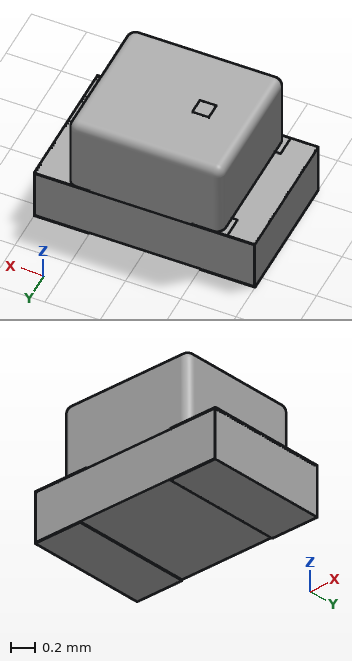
import cadquery as cq

length = 2
width = 1.25
height = 1.2

foil = 0.01
base_top = 0.5
terminal_reach = 0.5

lens_length = 1.4
lens_radius = 0.08

patch_inset = 0.25
patch_length = 0.32
patch_width = 0.2

mark_size = 0.15
mark_inset = 0.67

left_end = -length / 2
substrate_length = length - 2 * foil
substrate_top = base_top - foil
patch_center_x = left_end + patch_inset + patch_length / 2
patch_center_y = (width - patch_width) / 2
mark_center_x = left_end + mark_inset + mark_size / 2


def block(size_x, size_y, bottom, top, x=0, y=0):
    """Block centred on (x, y), from height bottom to height top."""
    return (
        cq.Workplane("XY", origin=(x, y, bottom))
        .box(size_x, size_y, top - bottom, centered=(True, True, False))
    )


def make_substrate():
    return block(substrate_length, width, foil, substrate_top)


def make_patch(side):
    """Thin patch at the front (side -1) or back (side 1) edge of the base."""
    return block(patch_length, patch_width, substrate_top, base_top, patch_center_x, side * patch_center_y)


def make_terminal(side, substrate):
    """Foil channel wrapped around the left (side -1) or right (side 1) end of the substrate."""
    center_x = side * (length - terminal_reach) / 2
    return block(terminal_reach, width, 0, base_top, center_x).cut(substrate)


def make_mark():
    return block(mark_size, mark_size, height - foil, height, mark_center_x)


def make_lens(fitted_bodies):
    """Rounded block down to the substrate, recessed for the foil parts and the mark."""
    lens = (
        block(lens_length, width, substrate_top, height)
        .edges("|Z")
        .fillet(lens_radius)
        .faces(">Z")
        .edges()
        .fillet(lens_radius)
    )
    for body in fitted_bodies:
        lens = lens.cut(body)
    return lens


substrate = make_substrate()
patches = [make_patch(side) for side in (-1, 1)]
terminals = [make_terminal(side, substrate) for side in (-1, 1)]

for patch in patches:
    terminals[0] = terminals[0].cut(patch)

mark = make_mark()
lens = make_lens([*terminals, *patches, mark])

bodies = [substrate, *terminals, *patches, mark, lens]
result = cq.Compound.makeCompound([body.solids().val() for body in bodies])